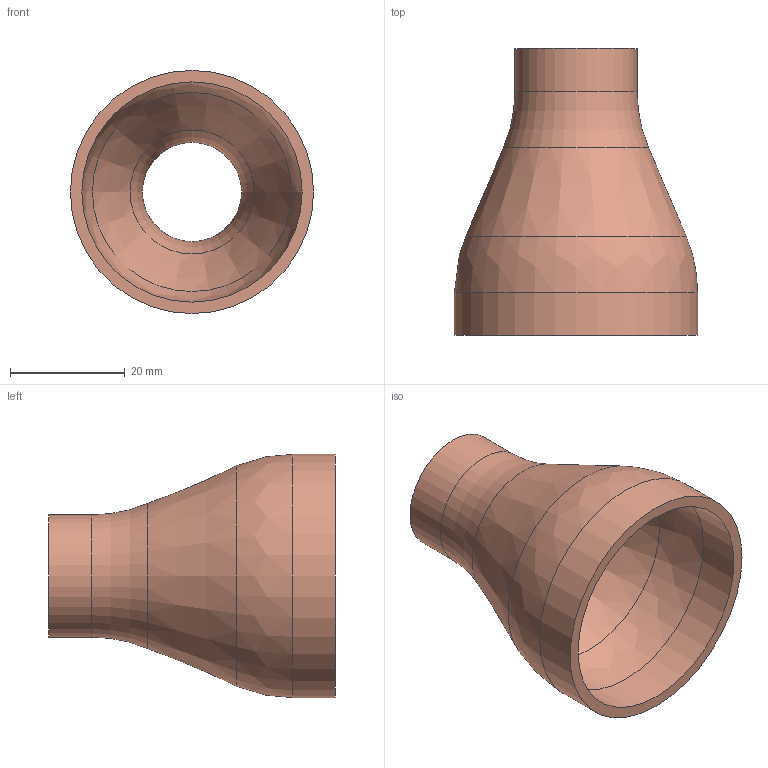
import cadquery as cq
import math

length = 50.0
large_diameter = 42.4
small_diameter = 21.3
wall = 2.0
collar_length = 7.5
bend_radius = 25.0

large_radius = large_diameter / 2
small_radius = small_diameter / 2
small_collar_start = length - collar_length

large_center = (large_radius - bend_radius, collar_length)
small_center = (small_radius + bend_radius, small_collar_start)

center_rise = small_center[0] - large_center[0]
center_run = small_center[1] - large_center[1]
center_distance = math.hypot(center_rise, center_run)
cone_angle = math.atan2(center_run, center_rise) - math.acos(2 * bend_radius / center_distance)


def large_bend_point(angle, inset):
    """Point on the convex bend, turned by angle away from the large collar."""
    radius = bend_radius - inset
    return (
        large_center[0] + radius * math.cos(angle),
        large_center[1] + radius * math.sin(angle),
    )


def small_bend_point(angle, inset):
    """Point on the concave bend, turned by angle away from the small collar."""
    radius = bend_radius + inset
    return (
        small_center[0] - radius * math.cos(angle),
        small_center[1] - radius * math.sin(angle),
    )


def revolved_body(inset):
    """Solid of revolution whose surface lies inset below the outer surface."""
    profile = (
        cq.Workplane("XY")
        .lineTo(large_radius - inset, 0)
        .lineTo(large_radius - inset, collar_length)
        .threePointArc(large_bend_point(cone_angle / 2, inset), large_bend_point(cone_angle, inset))
        .lineTo(*small_bend_point(cone_angle, inset))
        .threePointArc(
            small_bend_point(cone_angle / 2, inset),
            (small_radius - inset, small_collar_start),
        )
        .lineTo(small_radius - inset, length)
        .lineTo(0, length)
        .close()
    )
    return profile.revolve(360, (0, 0, 0), (0, 1, 0))


outer_body = revolved_body(0)
bore = revolved_body(wall)
result = outer_body.cut(bore)